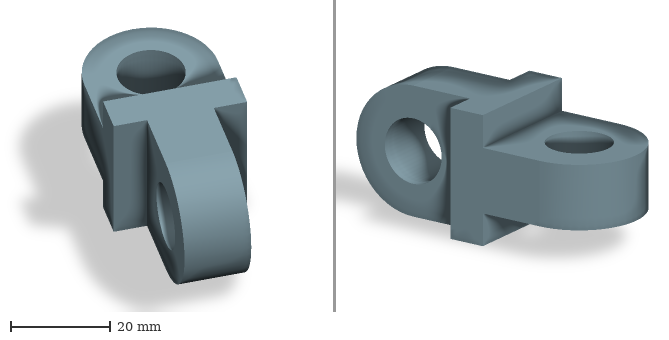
import cadquery as cq

width = 28.0
plate_thickness = 8.0
lug_thickness = 14.0
hole_diameter = 14.0
hole_offset = 14.0

end_radius = width / 2
hole_x = plate_thickness / 2 + hole_offset


def make_lug():
    """Round-ended lug lying in XY, running from the plate centre towards +X."""
    return (
        cq.Workplane("XY")
        .workplane(offset=-lug_thickness / 2)
        .moveTo(0, -end_radius)
        .lineTo(hole_x, -end_radius)
        .threePointArc((hole_x + end_radius, 0), (hole_x, end_radius))
        .lineTo(0, end_radius)
        .close()
        .moveTo(hole_x, 0)
        .circle(hole_diameter / 2)
        .extrude(lug_thickness)
    )


plate = cq.Workplane("XY").box(plate_thickness, width, width)

horizontal_lug = make_lug().rotate((0, 0, 0), (0, 0, 1), 180)
vertical_lug = make_lug().rotate((0, 0, 0), (1, 0, 0), 90)

result = plate.union(horizontal_lug).union(vertical_lug)